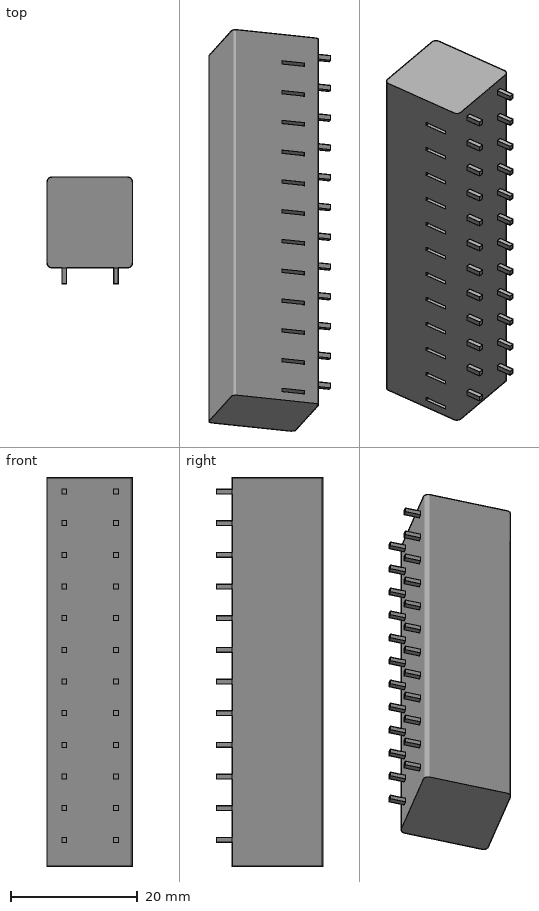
import cadquery as cq

HOUSING_WIDTH = 13.5
HOUSING_DEPTH = 14.35
HOUSING_HEIGHT = 61.4
CORNER_RADIUS = 0.8

POSITION_COUNT = 12
POSITION_SPAN = 55.0
POSITION_PITCH = POSITION_SPAN / (POSITION_COUNT - 1)

PIN_WIDTH = 0.75
PIN_HEIGHT = 0.8
PIN_LENGTH = 2.5
PIN_COLUMN_SPACING = 8.15
PIN_COLUMN_OFFSET = 0.05
TOP_PIN_Z = 59.2

SLOT_LENGTH = 3.75
SLOT_HEIGHT = 0.55
SLOT_DEPTH = 1.0
SLOT_CENTER_Y = 4.35
TOP_SLOT_Z = TOP_PIN_Z - POSITION_PITCH / 2


def position_heights(top_z):
    """Z of every contact position, counted down from the top one."""
    return [top_z - i * POSITION_PITCH for i in range(POSITION_COUNT)]


def make_housing():
    """Block with its -Y face on Y = 0 and all four upright edges rounded."""
    block = cq.Workplane("XY").box(
        HOUSING_WIDTH, HOUSING_DEPTH, HOUSING_HEIGHT, centered=(True, False, False)
    )
    return block.edges("|Z").fillet(CORNER_RADIUS)


def make_pins():
    """Both columns of rectangular pins, rooted on the -Y face."""
    half_spacing = PIN_COLUMN_SPACING / 2
    columns = [PIN_COLUMN_OFFSET - half_spacing, PIN_COLUMN_OFFSET + half_spacing]
    centers = [(x, z) for x in columns for z in position_heights(TOP_PIN_Z)]
    pins = cq.Workplane("XZ").pushPoints(centers)
    return pins.rect(PIN_WIDTH, PIN_HEIGHT).extrude(PIN_LENGTH)


def make_slots():
    """Wedge cutters for the slots: flat floor, ceiling sloping down to meet it inside."""
    outer_x = -HOUSING_WIDTH / 2
    inner_x = outer_x + SLOT_DEPTH
    slots = cq.Workplane("XZ", origin=(0, SLOT_CENTER_Y, 0))
    for z in position_heights(TOP_SLOT_Z):
        floor_z = z - SLOT_HEIGHT / 2
        ceiling_z = z + SLOT_HEIGHT / 2
        slots = slots.polyline([(outer_x, floor_z), (inner_x, floor_z), (outer_x, ceiling_z)]).close()
    return slots.extrude(SLOT_LENGTH / 2, both=True)


result = make_housing().union(make_pins()).cut(make_slots())